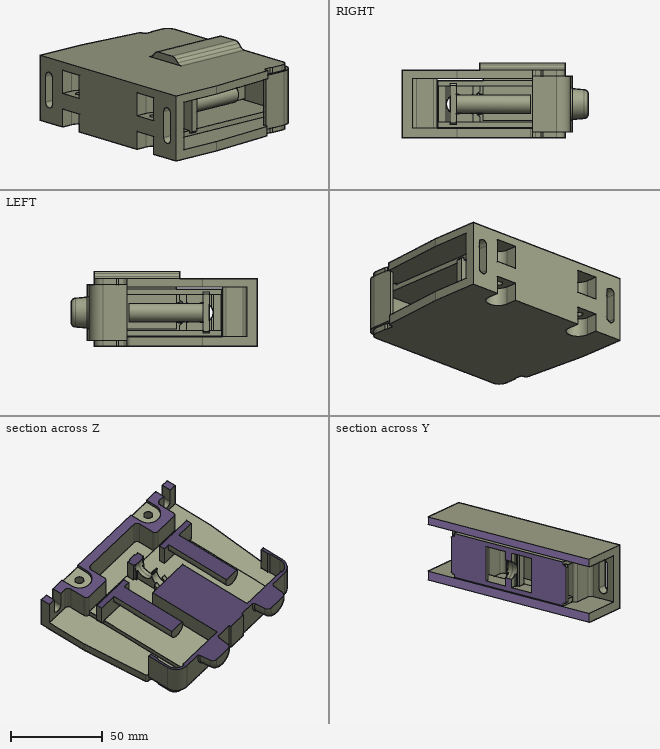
import cadquery as cq
import math


HALF_WIDTH = 55.0
BODY_HEIGHT = 37.0
MID_HEIGHT = BODY_HEIGHT / 2
STRAIGHT_LENGTH = 29.9
SHOULDER_Y = 71.2
SHOULDER_HALF_WIDTH = 51.5
BACK_Y = 89.1
BACK_HALF_WIDTH = 48.6
BACK_CORNER_RADIUS = 4.8
NECK_HALF_WIDTH = 48.1
NECK_START_Y = 77.0
NECK_END_Y = 75.8
SHOULDER_FILLET = 1.8
FLOOR_CORNER_FILLET = 1.2
FRONT_WALL = 5.7
FLOOR_Z = 5.4
CEILING_Z = 32.3

SLOT_X = 47.7
SLOT_Z = 18.7
SLOT_WIDTH = 5.5
SLOT_HEIGHT = 20.2
POCKET_X = 30.0
POCKET_WIDTH = 13.4
POCKET_RADIUS = POCKET_WIDTH / 2
BAR_BOTTOM_Z = 10.2
BAR_TOP_Z = 19.1
POCKET_TOP_Z = 32.2
BAR_HOLE_RADIUS = 2.4
BOSS_WALL = 2.3
BOSS_BACK_Y = 19.1
BOSS_CORNER_RADIUS = 1.9
BOSS_ROOT_RADIUS = 2.2
RIB_TOP_Z = 41.0
RIB_FRONT_Y = 42.4
RIB_TOP_HALF_WIDTH = 5.5
RIB_RADIUS = 4.1
RIB_FLANK_ANGLE = math.radians(45)

CAP_BOTTOM_Z = 3.2
CAP_TOP_Z = BODY_HEIGHT - CAP_BOTTOM_Z
CAP_HALF_WIDTH = 50.0
CAP_BACK_Y = 91.8
CAP_CORNER_RADIUS = 7.5
CAP_INNER_CORNER_RADIUS = 5.9
CAP_INNER_BACK_Y = 90.1
TAB_HALF_WIDTH = 5.5
TAB_BACK_Y = 93.0
KNOB_X = 23.9
KNOB_END_Y = 101.8
KNOB_BASE_RADIUS = 8.6
KNOB_END_RADIUS = 7.7
KNOB_END_ROUND = 2.6
KNOB_FLARE = 0.5
KNOB_FLARE_LENGTH = 1.1
TRAY_HALF_WIDTH = 37.2
TRAY_FRONT_Y = 19.4
TRAY_BOTTOM_Z = 5.6
TRAY_TOP_Z = BODY_HEIGHT - TRAY_BOTTOM_Z
TRAY_PLATE = 3.0
BACK_PLATE_FRONT_Y = 89.3
BACK_PLATE_HALF_WIDTH = 42.9
REAR_STEP_FRONT_Y = 80.5
WEB_HALF_THICKNESS = 2.2
FRONT_HOLE_Y = 29.7
FRONT_HOLE_RADIUS = 5.4
REAR_HOLE_Y = 40.9
REAR_HOLE_RADIUS = 5.8
FRONT_POST_Y = (19.9, 24.1)
REAR_POST_Y = (38.7, 42.7)
POST_HALF_THICKNESS = 4.4
POST_STEP_Y = 25.2
POST_STEP_HALF_THICKNESS = 3.3
NOTCH_SIZE = 7.2
CORE_FRONT_Y = 44.2
CORE_HALF_WIDTH = 13.2
CORE_BOTTOM_Z = 9.5
ROD_RADIUS = 5.1
ROD_END_Y = 70.1
END_PLATE_FRONT_Y = 26.2
END_PLATE_BACK_Y = 29.7
END_PLATE_OUTER_X = 39.3
END_PLATE_INNER_X = 15.4
END_PLATE_HEIGHT = 22.4
END_PLATE_CHAMFER = 1.0

SIDES = (-1, 1)


def block(x0, x1, y0, y1, z0, z1):
    """Box between two opposite corners."""
    return cq.Workplane("XY").box(x1 - x0, y1 - y0, z1 - z0, centered=False).translate((x0, y0, z0))


def housing_slab(z0, z1, corner_fillet=0):
    """Slice of the housing outline between two heights, with optional rounded shoulder corners."""
    right = [
        (HALF_WIDTH, 0),
        (HALF_WIDTH, STRAIGHT_LENGTH),
        (SHOULDER_HALF_WIDTH, SHOULDER_Y),
        (NECK_HALF_WIDTH, SHOULDER_Y),
        (NECK_HALF_WIDTH, NECK_END_Y),
        (BACK_HALF_WIDTH, NECK_START_Y),
        (BACK_HALF_WIDTH, BACK_Y),
    ]
    left = [(-x, y) for x, y in reversed(right)]
    slab = cq.Workplane("XY").workplane(offset=z0).polyline(right + left).close().extrude(z1 - z0)

    def round_corners(body, x, y, radius):
        for side in SIDES:
            at_corner = cq.selectors.NearestToPointSelector((side * x, y, (z0 + z1) / 2))
            body = body.edges("|Z").edges(at_corner).fillet(radius)
        return body

    slab = round_corners(slab, BACK_HALF_WIDTH, BACK_Y, BACK_CORNER_RADIUS)
    slab = round_corners(slab, NECK_HALF_WIDTH, SHOULDER_Y, SHOULDER_FILLET)
    if corner_fillet:
        slab = round_corners(slab, SHOULDER_HALF_WIDTH, SHOULDER_Y, corner_fillet)
    return slab


def strap_slot(x):
    """Upright round-ended slot through the front wall."""
    return (
        cq.Workplane("XZ", origin=(x, 0, SLOT_Z))
        .slot2D(SLOT_HEIGHT, SLOT_WIDTH, 90)
        .extrude(-FRONT_WALL)
    )


def pocket_boss(x):
    """Full-height column behind the front wall that surrounds one pair of pockets."""
    half = POCKET_RADIUS + BOSS_WALL
    root = BOSS_ROOT_RADIUS
    corner = BOSS_CORNER_RADIUS
    root_mid = root * (1 - math.sqrt(0.5))
    corner_mid = corner * (1 - math.sqrt(0.5))
    return (
        cq.Workplane("XY", origin=(x, 0, FLOOR_Z))
        .moveTo(-half - root, FRONT_WALL)
        .threePointArc((-half - root_mid, FRONT_WALL + root_mid), (-half, FRONT_WALL + root))
        .lineTo(-half, BOSS_BACK_Y - corner)
        .threePointArc((-half + corner_mid, BOSS_BACK_Y - corner_mid), (-half + corner, BOSS_BACK_Y))
        .lineTo(half - corner, BOSS_BACK_Y)
        .threePointArc((half - corner_mid, BOSS_BACK_Y - corner_mid), (half, BOSS_BACK_Y - corner))
        .lineTo(half, FRONT_WALL + root)
        .threePointArc((half + root_mid, FRONT_WALL + root_mid), (half + root, FRONT_WALL))
        .close()
        .extrude(CEILING_Z - FLOOR_Z)
    )


def pocket(x, z0, z1):
    """Round-backed pocket open at the front face."""
    mouth = block(x - POCKET_RADIUS, x + POCKET_RADIUS, 0, POCKET_RADIUS, z0, z1)
    back = cq.Workplane("XY", origin=(x, POCKET_RADIUS, z0)).circle(POCKET_RADIUS).extrude(z1 - z0)
    return mouth.union(back)


def bar_hole(x):
    """Upright hole through the bar between the two pockets."""
    return (
        cq.Workplane("XY", origin=(x, POCKET_RADIUS, BAR_BOTTOM_Z))
        .circle(BAR_HOLE_RADIUS)
        .extrude(BAR_TOP_Z - BAR_BOTTOM_Z)
    )


def top_rib():
    """Rib on the top face with 45 degree flanks, rounded at crest and root."""
    rise = RIB_TOP_Z - BODY_HEIGHT
    run = RIB_RADIUS * math.sin(RIB_FLANK_ANGLE)
    drop = RIB_RADIUS * (1 - math.cos(RIB_FLANK_ANGLE))
    mid_run = RIB_RADIUS * math.sin(RIB_FLANK_ANGLE / 2)
    mid_drop = RIB_RADIUS * (1 - math.cos(RIB_FLANK_ANGLE / 2))
    crest_x = RIB_TOP_HALF_WIDTH
    flank_top_x = crest_x + run
    flank_bottom_x = flank_top_x + (rise - 2 * drop) / math.tan(RIB_FLANK_ANGLE)
    root_x = flank_bottom_x + run
    return (
        cq.Workplane("XZ", origin=(0, BACK_Y, BODY_HEIGHT))
        .moveTo(-root_x, 0)
        .threePointArc((-root_x + mid_run, mid_drop), (-flank_bottom_x, drop))
        .lineTo(-flank_top_x, rise - drop)
        .threePointArc((-crest_x - mid_run, rise - mid_drop), (-crest_x, rise))
        .lineTo(crest_x, rise)
        .threePointArc((crest_x + mid_run, rise - mid_drop), (flank_top_x, rise - drop))
        .lineTo(flank_bottom_x, drop)
        .threePointArc((root_x - mid_run, mid_drop), (root_x, 0))
        .close()
        .extrude(BACK_Y - RIB_FRONT_Y)
    )


def make_housing(cap):
    """Open-sided housing: two plates joined by the front wall and the pocket bosses."""
    body = housing_slab(0, FLOOR_Z, FLOOR_CORNER_FILLET)
    body = body.union(housing_slab(CEILING_Z, BODY_HEIGHT))
    body = body.union(block(-HALF_WIDTH, HALF_WIDTH, 0, FRONT_WALL, 0, BODY_HEIGHT))
    for side in SIDES:
        body = body.union(pocket_boss(side * POCKET_X))
    body = body.union(top_rib())
    for side in SIDES:
        body = body.cut(strap_slot(side * SLOT_X))
        body = body.cut(pocket(side * POCKET_X, 0, BAR_BOTTOM_Z))
        body = body.cut(pocket(side * POCKET_X, BAR_TOP_Z, POCKET_TOP_Z))
        body = body.cut(bar_hole(side * POCKET_X))
    return body.cut(cap)


def make_cap():
    """U-shaped cap wall that wraps the back of the housing, with a small tab in the middle."""
    height = CAP_TOP_Z - CAP_BOTTOM_Z
    outer = block(-CAP_HALF_WIDTH, CAP_HALF_WIDTH, SHOULDER_Y, CAP_BACK_Y, CAP_BOTTOM_Z, CAP_TOP_Z)
    outer = outer.edges("|Z and >Y").fillet(CAP_CORNER_RADIUS)
    inner_half = BACK_HALF_WIDTH
    inner = (
        block(-inner_half, inner_half, NECK_START_Y, CAP_INNER_BACK_Y, CAP_BOTTOM_Z, CAP_TOP_Z)
        .edges("|Z and >Y")
        .fillet(CAP_INNER_CORNER_RADIUS)
    )
    mouth = (
        cq.Workplane("XY", origin=(0, 0, CAP_BOTTOM_Z))
        .polyline([
            (-NECK_HALF_WIDTH, SHOULDER_Y),
            (NECK_HALF_WIDTH, SHOULDER_Y),
            (NECK_HALF_WIDTH, NECK_END_Y),
            (inner_half, NECK_START_Y),
            (-inner_half, NECK_START_Y),
            (-NECK_HALF_WIDTH, NECK_END_Y),
        ])
        .close()
        .extrude(height)
    )
    tab = block(-TAB_HALF_WIDTH, TAB_HALF_WIDTH, CAP_INNER_BACK_Y, TAB_BACK_Y, CAP_BOTTOM_Z, CAP_TOP_Z)
    return outer.cut(inner).cut(mouth).union(tab)


def knob(x):
    """Tapered round knob on the back of the cap, flared at its foot and rounded at its end."""
    flare_y = CAP_BACK_Y + KNOB_FLARE_LENGTH
    profile = (
        cq.Workplane("XY", origin=(x, 0, MID_HEIGHT))
        .moveTo(0, CAP_INNER_BACK_Y)
        .lineTo(KNOB_BASE_RADIUS, CAP_INNER_BACK_Y)
        .lineTo(KNOB_BASE_RADIUS + KNOB_FLARE, CAP_BACK_Y)
        .lineTo(KNOB_BASE_RADIUS, flare_y)
        .lineTo(KNOB_END_RADIUS, KNOB_END_Y)
        .lineTo(0, KNOB_END_Y)
        .close()
    )
    body = profile.revolve(360, (0, 0, 0), (0, 1, 0))
    return body.faces(">Y").edges().fillet(KNOB_END_ROUND)


def mid_web():
    """Lengthwise web of the tray with its posts, cross holes and thick rear core."""
    web = block(
        -WEB_HALF_THICKNESS, WEB_HALF_THICKNESS, TRAY_FRONT_Y, CAP_INNER_BACK_Y, TRAY_BOTTOM_Z, TRAY_TOP_Z
    )
    ribs = (
        (*FRONT_POST_Y, POST_HALF_THICKNESS),
        (FRONT_POST_Y[1], POST_STEP_Y, POST_STEP_HALF_THICKNESS),
        (*REAR_POST_Y, POST_HALF_THICKNESS),
    )
    for y0, y1, half in ribs:
        web = web.union(block(-half, half, y0, y1, TRAY_BOTTOM_Z, TRAY_TOP_Z))
    for side in SIDES:
        notch = (
            cq.Workplane("YZ", origin=(side * WEB_HALF_THICKNESS, REAR_POST_Y[1], MID_HEIGHT))
            .polyline([(0, -NOTCH_SIZE), (0, NOTCH_SIZE), (-NOTCH_SIZE, 0)])
            .close()
            .extrude(side * (POST_HALF_THICKNESS - WEB_HALF_THICKNESS))
        )
        web = web.cut(notch)
    holes = (
        (FRONT_HOLE_Y, FRONT_HOLE_RADIUS, POST_STEP_HALF_THICKNESS),
        (REAR_HOLE_Y, REAR_HOLE_RADIUS, WEB_HALF_THICKNESS),
    )
    for y, radius, half in holes:
        web = web.cut(cq.Workplane("YZ", origin=(0, y, MID_HEIGHT)).circle(radius).extrude(half, both=True))
    core = block(-CORE_HALF_WIDTH, CORE_HALF_WIDTH, CORE_FRONT_Y, CAP_INNER_BACK_Y, CORE_BOTTOM_Z, CEILING_Z)
    return web.union(core)


def rod_with_plate(side):
    """Lengthwise rod carried by an upright end plate in one side of the tray."""
    rod = (
        cq.Workplane("XZ", origin=(KNOB_X, END_PLATE_BACK_Y, MID_HEIGHT))
        .circle(ROD_RADIUS)
        .extrude(END_PLATE_BACK_Y - ROD_END_Y)
    )
    z0 = MID_HEIGHT - END_PLATE_HEIGHT / 2
    plate = block(
        END_PLATE_INNER_X, END_PLATE_OUTER_X, END_PLATE_FRONT_Y, END_PLATE_BACK_Y, z0, z0 + END_PLATE_HEIGHT
    )
    plate = plate.faces(">X").edges("|Y").chamfer(END_PLATE_CHAMFER)
    body = rod.union(plate)
    return body if side > 0 else body.mirror("YZ")


def make_insert(cap):
    """Cap with knobs, carrying the tray that slides into the housing."""
    body = cap
    for side in SIDES:
        body = body.union(knob(side * KNOB_X))
    for z in (TRAY_BOTTOM_Z, TRAY_TOP_Z - TRAY_PLATE):
        body = body.union(
            block(-TRAY_HALF_WIDTH, TRAY_HALF_WIDTH, TRAY_FRONT_Y, CAP_INNER_BACK_Y, z, z + TRAY_PLATE)
        )
    body = body.union(
        block(
            -BACK_PLATE_HALF_WIDTH, BACK_PLATE_HALF_WIDTH, BACK_PLATE_FRONT_Y, CAP_INNER_BACK_Y,
            TRAY_BOTTOM_Z, TRAY_TOP_Z,
        )
    )
    body = body.union(
        block(
            -TRAY_HALF_WIDTH, TRAY_HALF_WIDTH, REAR_STEP_FRONT_Y, CAP_INNER_BACK_Y,
            TRAY_TOP_Z - TRAY_PLATE, CEILING_Z,
        )
    )
    body = body.union(mid_web())
    for side in SIDES:
        body = body.union(rod_with_plate(side))
    return body


cap_wall = make_cap()
housing = make_housing(cap_wall)
insert = make_insert(cap_wall)

result = cq.Compound.makeCompound([housing.solids().val(), insert.solids().val()])